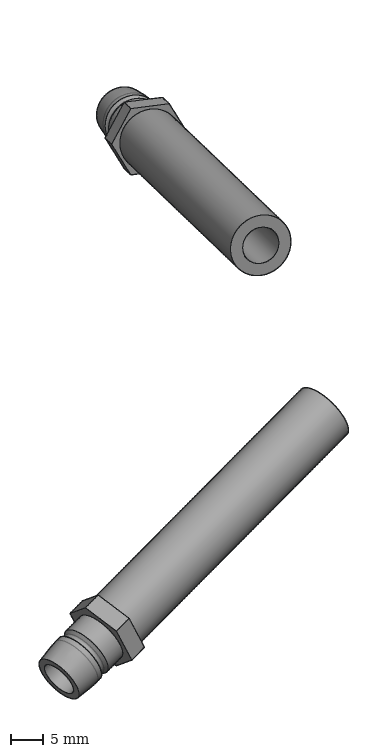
import cadquery as cq

total_length = 63.0
nose_length = 4.05
groove_start = 5.0
groove_mid = 5.5
groove_edge = 5.9
groove_end = 6.5
hex_start = 9.95
hex_width = 3.0

tube_diameter = 10.0
spigot_diameter = 9.0
nose_end_diameter = 8.25
nose_mid_diameter = 8.75
groove_floor_diameter = 8.0
groove_edge_diameter = 8.2
bore_diameter = 6.0
hex_across_corners = 12.7

tube_radius = tube_diameter / 2
spigot_radius = spigot_diameter / 2
nose_end_radius = nose_end_diameter / 2
nose_mid_radius = nose_mid_diameter / 2
groove_floor_radius = groove_floor_diameter / 2
groove_edge_radius = groove_edge_diameter / 2
bore_radius = bore_diameter / 2


def turned_body():
    """Bored nose, grooved spigot and tube, revolved about the X axis."""
    return (
        cq.Workplane("XZ")
        .moveTo(0, bore_radius)
        .lineTo(0, nose_end_radius)
        .threePointArc((nose_length / 2, nose_mid_radius), (nose_length, spigot_radius))
        .lineTo(groove_start, spigot_radius)
        .threePointArc((groove_mid, groove_floor_radius), (groove_edge, groove_edge_radius))
        .lineTo(groove_end, spigot_radius)
        .lineTo(hex_start, spigot_radius)
        .lineTo(hex_start, tube_radius)
        .lineTo(total_length, tube_radius)
        .lineTo(total_length, bore_radius)
        .close()
        .revolve(360, (0, 0, 0), (1, 0, 0))
    )


def hex_collar():
    """Hexagonal ring with corners on the Y axis and flats facing up and down."""
    return (
        cq.Workplane("YZ", origin=(hex_start, 0, 0))
        .polygon(6, hex_across_corners)
        .circle(bore_radius)
        .extrude(hex_width)
    )


result = turned_body().union(hex_collar())